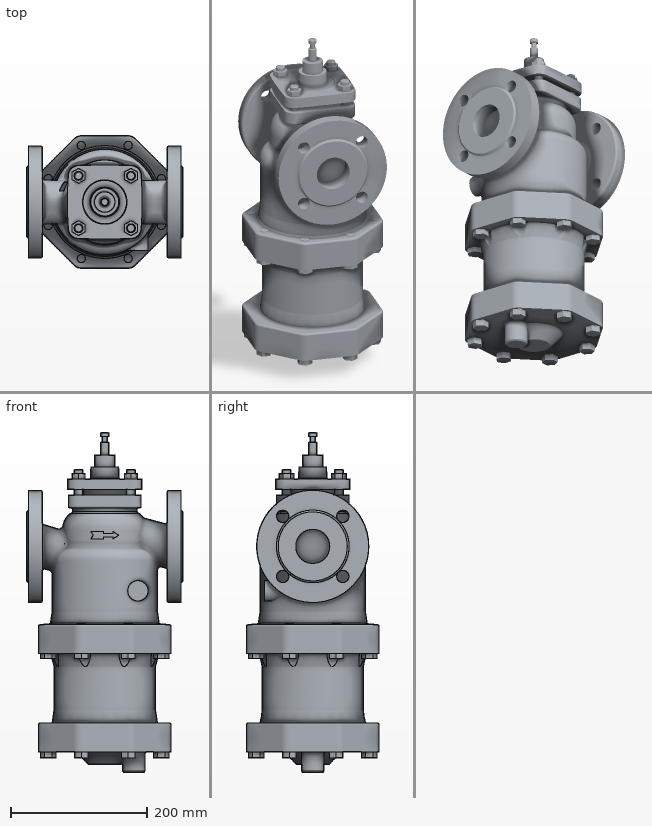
import cadquery as cq
import math


top_z = 167.5
bottom_z = -332.5

face_to_face = 230.0
end_flange_dia = 165.0
raised_face_height = 2.75
raised_face_base_dia = 107.0
end_flange_thickness = 20.5
end_flange_back_x = face_to_face / 2 - raised_face_height - end_flange_thickness
end_flange_edge_round = 3.0
end_flange_root_round = 3.0
end_bolt_circle_dia = 125.0
end_bolt_hole_dia = 18.0
end_bolt_count = 4
port_bore_dia = 50.0
port_bore_depth = 26.0
port_root_dia = 65.3
port_neck_dia = 64.0
port_neck_rise = 9.0
port_neck_reach = 60.0
port_inner_rise = 17.0
port_inner_reach = 35.0
inlet_body_round = 6.0
outlet_body_round = 5.0

neck_radius = 47.5
dome_radius = 62.0
body_radius = 77.5
body_foot_radius = 80.0
body_skirt_radius = 83.0
neck_round = 2.5
dome_neck_round = 3.5
dome_top_radius = 50.5
dome_top_z = 48.5
dome_bottom_z = 25.5
waist_bottom_z = 7.5
cove_bottom_z = -4.5
cove_radius_at_bottom = 67.5
shoulder_bottom_z = -21.0
body_cylinder_bottom_z = -95.75
body_foot_z = -112.5

arrow_tail_x = -20.5
arrow_step_x = -2.0
arrow_head_x = 12.0
arrow_tip_x = 20.5
arrow_half_height = 5.5
arrow_shaft_half_height = 2.5
arrow_notch = 3.5
arrow_relief = 1.0

joint_sides = 8
joint_across_flats = 195.0
joint_corner_round = 15.0
joint_edge_round = 3.0
joint_height = 42.5
upper_joint_top_z = -115.0
joint_pitch = 144.5
lower_joint_top_z = upper_joint_top_z - joint_pitch
upper_joint_bottom_z = upper_joint_top_z - joint_height
lower_joint_bottom_z = lower_joint_top_z - joint_height
upper_half_height = joint_height / 2

joint_bolt_circle_dia = 180.0
joint_bolt_count = 8
joint_bolt_dia = 12.0
joint_bolt_tip = 1.0
joint_head_across_flats = 20.0
upper_head_height = 7.5
lower_head_height = 9.0
spot_face_radius = 15.4

barrel_radius = 74.5
barrel_top_radius = 79.5
barrel_foot_radius = 77.5
barrel_flare_height = 19.5

cap_base_radius = 42.5
cap_tip_radius = 24.0
cap_tip_z = -320.25
drain_dia = 33.0
drain_x = 42.75
drain_chamfer = 2.0
drain_root_round = 3.0
drain_cap_round = 1.0

plug_dia = 29.97
plug_root_round = 1.0
plug_x = 48.75
plug_z = -65.25
plug_face_y = -71.0

bonnet_width = 107.0
bonnet_bottom_z = 56.75
bonnet_top_z = 75.25
bonnet_bottom_round = 2.0
cover_width = 109.5
cover_side_bulge = 1.5
cover_bottom_z = 84.0
cover_top_z = 99.0
square_corner_round = 15.0
spigot_dia = 64.0
cover_bore_dia = 65.3
stud_pitch = 77.0
stud_dia = 13.0
stud_top_z = 113.0
stud_chamfer = 1.0
nut_across_flats = 19.0
nut_top_z = 107.0
gland_base_radius = 21.0
gland_top_radius = 20.5
gland_top_z = 117.0
gland_foot_height = 1.5
gland_foot_radius = 21.75
guide_radius = 15.0
guide_top_z = 134.0
spindle_radius = 6.0
spindle_groove_radius = 7.5 / 2
spindle_groove_bottom_z = 153.5
spindle_groove_top_z = 161.5
spindle_chamfer = 1.0

SELECT_GAP = 0.0005

SELECT_MARGIN = 1.0

HEX_CORNER_RATIO = 2 / math.sqrt(3)


def edges_within(x_range, y_range, z_range):
    """Selector for the edges lying wholly inside a box."""
    lows, highs = zip(x_range, y_range, z_range)
    return cq.selectors.BoxSelector(lows, highs, boundingbox=True)


def disc(dia, low_z, high_z, x=0.0, y=0.0):
    """Upright cylinder between two levels."""
    return cq.Workplane("XY", origin=(x, y, low_z)).circle(dia / 2).extrude(high_z - low_z)


def hexagon(across_flats, low_z, high_z, x, y, turn):
    """Upright hexagonal prism with its corners on local X, turned about its own axis."""
    prism = (
        cq.Workplane("XY")
        .polygon(6, across_flats * HEX_CORNER_RATIO)
        .extrude(high_z - low_z)
    )
    return prism.rotate((0, 0, 0), (0, 0, 1), turn).translate((x, y, low_z))


def upper_body():
    """Turned body from its skirt on the upper joint to the neck under the bonnet."""
    profile = (
        cq.Workplane("XZ")
        .moveTo(0, upper_joint_top_z)
        .lineTo(body_skirt_radius, upper_joint_top_z)
        .lineTo(body_foot_radius, body_foot_z)
        .lineTo(body_radius, body_cylinder_bottom_z)
        .lineTo(body_radius, shoulder_bottom_z)
        .tangentArcPoint((cove_radius_at_bottom, cove_bottom_z), relative=False)
        .tangentArcPoint((dome_radius, waist_bottom_z), relative=False)
        .lineTo(dome_radius, dome_bottom_z)
        .tangentArcPoint((dome_top_radius, dome_top_z), relative=False)
        .radiusArc((neck_radius, dome_top_z + neck_round), dome_neck_round)
        .lineTo(neck_radius, bonnet_bottom_z - neck_round)
        .tangentArcPoint((neck_radius + neck_round, bonnet_bottom_z), relative=False)
        .lineTo(0, bonnet_bottom_z)
        .close()
    )
    return profile.revolve(360, (0, 0, 0), (0, 1, 0))


def barrel():
    """Turned barrel between the joints, scalloped below the upper joint to clear the bolt heads."""
    flare_bottom_z = upper_joint_bottom_z - barrel_flare_height
    flare_top_z = lower_joint_top_z + barrel_flare_height
    profile = (
        cq.Workplane("XZ")
        .moveTo(0, upper_joint_bottom_z)
        .lineTo(barrel_top_radius, upper_joint_bottom_z)
        .lineTo(barrel_radius, flare_bottom_z)
        .lineTo(barrel_radius, flare_top_z)
        .lineTo(barrel_foot_radius, lower_joint_top_z)
        .lineTo(0, lower_joint_top_z)
        .close()
    )
    shape = profile.revolve(360, (0, 0, 0), (0, 1, 0))
    for x, y, _ in joint_bolt_places():
        shape = shape.cut(disc(2 * spot_face_radius, flare_bottom_z, upper_joint_bottom_z, x, y))
    return shape


def joint_bolt_places():
    """Bolt positions, each with the turn of its hexagon head."""
    places = []
    step = 360 / joint_bolt_count
    for index in range(joint_bolt_count):
        angle = math.radians((index + 0.5) * step)
        x = joint_bolt_circle_dia / 2 * math.cos(angle)
        y = joint_bolt_circle_dia / 2 * math.sin(angle)
        turn = 0 if abs(x) > abs(y) else 90
        places.append((x, y, turn))
    return places


def octagon(low_z, high_z):
    """Octagonal plate with rounded corners and flats square to X and Y."""
    corner_dia = joint_across_flats / math.cos(math.pi / joint_sides)
    plate = (
        cq.Workplane("XY")
        .polygon(joint_sides, corner_dia)
        .extrude(high_z - low_z)
        .rotate((0, 0, 0), (0, 0, 1), 180 / joint_sides)
        .translate((0, 0, low_z))
    )
    return plate.edges("|Z").fillet(joint_corner_round)


def joint(high_z, head_height, tip):
    """Octagonal flange pair with its ring of bolts; the seams between the parts are kept."""
    low_z = high_z - joint_height
    middle_z = high_z - upper_half_height
    upper_half = octagon(middle_z, high_z).faces(">Z").edges().fillet(joint_edge_round)
    pair = upper_half.union(octagon(low_z, middle_z), clean=False)
    for x, y, turn in joint_bolt_places():
        head = hexagon(joint_head_across_flats, low_z - head_height, low_z, x, y, turn)
        shank = disc(joint_bolt_dia, low_z, high_z + tip, x, y)
        pair = pair.union(head, clean=False).union(shank, clean=False)
    return pair


def drain_stub():
    """Drain stub, chamfered at its mouth and flared where it meets the lower joint."""
    radius = drain_dia / 2
    profile = (
        cq.Workplane("XZ", origin=(drain_x, 0, 0))
        .moveTo(0, bottom_z)
        .lineTo(radius - drain_chamfer, bottom_z)
        .lineTo(radius, bottom_z + drain_chamfer)
        .lineTo(radius, lower_joint_bottom_z - drain_root_round)
        .tangentArcPoint((radius + drain_root_round, lower_joint_bottom_z), relative=False)
        .lineTo(0, lower_joint_bottom_z)
        .close()
    )
    return profile.revolve(360, (0, 0, 0), (0, 1, 0))


def bottom_cap():
    """Cone under the lower joint with the drain stub blended into its side."""
    cone = (
        cq.Workplane("XY", origin=(0, 0, cap_tip_z))
        .circle(cap_tip_radius)
        .workplane(offset=lower_joint_bottom_z - cap_tip_z)
        .circle(cap_base_radius)
        .loft()
    )
    cap = cone.union(drain_stub())
    crossing = edges_within(
        (0, drain_x + drain_dia),
        (-drain_dia, drain_dia),
        (cap_tip_z + SELECT_MARGIN, lower_joint_bottom_z - SELECT_GAP),
    )
    return cap.edges("%BSPLINE").edges(crossing).fillet(drain_cap_round)


def side_plug():
    """Blind boss on the front of the body, square to Y."""
    return (
        cq.Workplane("XZ", origin=(plug_x, 0, plug_z))
        .circle(plug_dia / 2)
        .extrude(-plug_face_y)
    )


def square_plate(width, low_z, high_z):
    """Square plate with rounded corners."""
    plate = cq.Workplane("XY", origin=(0, 0, low_z)).rect(width, width).extrude(high_z - low_z)
    return plate.edges("|Z").fillet(square_corner_round)


def bulged_plate(width, bulge, low_z, high_z):
    """Square plate whose sides bow outward; width is taken across the middle of the sides."""
    middle = width / 2
    corner = middle - bulge
    plate = (
        cq.Workplane("XY", origin=(0, 0, low_z))
        .moveTo(-corner, -corner)
        .threePointArc((0, -middle), (corner, -corner))
        .threePointArc((middle, 0), (corner, corner))
        .threePointArc((0, middle), (-corner, corner))
        .threePointArc((-middle, 0), (-corner, -corner))
        .close()
        .extrude(high_z - low_z)
    )
    return plate.edges("|Z").fillet(square_corner_round)


def bonnet_and_cover():
    """Bonnet plate, spigot and the cover held above it by four studs and nuts."""
    bonnet = square_plate(bonnet_width, bonnet_bottom_z, bonnet_top_z)
    bonnet = bonnet.faces("<Z").edges().fillet(bonnet_bottom_round)
    cover = bulged_plate(cover_width, cover_side_bulge, cover_bottom_z, cover_top_z)
    cover = cover.cut(disc(cover_bore_dia, cover_bottom_z, cover_top_z))
    shape = bonnet.union(cover).union(disc(spigot_dia, bonnet_top_z, cover_top_z))
    for x_side in (-1, 1):
        for y_side in (-1, 1):
            x = x_side * stud_pitch / 2
            y = y_side * stud_pitch / 2
            stud = disc(stud_dia, bonnet_top_z, stud_top_z, x, y)
            stud = stud.faces(">Z").chamfer(stud_chamfer)
            nut = hexagon(nut_across_flats, cover_top_z, nut_top_z, x, y, 90)
            shape = shape.union(stud).union(nut)
    return shape


def spindle():
    """Turned gland, guide and grooved spindle end on top of the cover."""
    profile = (
        cq.Workplane("XZ")
        .moveTo(0, cover_top_z)
        .lineTo(gland_foot_radius, cover_top_z)
        .lineTo(gland_base_radius, cover_top_z + gland_foot_height)
        .lineTo(gland_top_radius, gland_top_z)
        .lineTo(guide_radius, gland_top_z)
        .lineTo(guide_radius, guide_top_z)
        .lineTo(spindle_radius, guide_top_z)
        .lineTo(spindle_radius, spindle_groove_bottom_z - spindle_chamfer)
        .lineTo(spindle_radius - spindle_chamfer, spindle_groove_bottom_z)
        .lineTo(spindle_groove_radius, spindle_groove_bottom_z)
        .lineTo(spindle_groove_radius, spindle_groove_top_z)
        .lineTo(spindle_radius, spindle_groove_top_z)
        .lineTo(spindle_radius, top_z - spindle_chamfer)
        .lineTo(spindle_radius - spindle_chamfer, top_z)
        .lineTo(0, top_z)
        .close()
    )
    return profile.revolve(360, (0, 0, 0), (0, 1, 0))


def end_flange(side):
    """Pipe flange on the -X (side = -1) or +X (side = 1) end, without its bore."""
    plate = (
        cq.Workplane("YZ", origin=(end_flange_back_x, 0, 0))
        .circle(end_flange_dia / 2)
        .extrude(end_flange_thickness)
    )
    plate = plate.faces("<X").edges().fillet(end_flange_edge_round)
    face = (
        cq.Workplane("YZ", origin=(end_flange_back_x + end_flange_thickness, 0, 0))
        .circle(raised_face_base_dia / 2)
        .extrude(raised_face_height, taper=45)
    )
    holes = (
        cq.Workplane("YZ", origin=(end_flange_back_x, 0, 0))
        .polarArray(end_bolt_circle_dia / 2, 45, 360, end_bolt_count)
        .circle(end_bolt_hole_dia / 2)
        .extrude(face_to_face / 2 - end_flange_back_x)
    )
    flange = plate.union(face).cut(holes)
    return flange if side > 0 else flange.mirror("YZ")


def port_neck(side):
    """Pipe neck from an end flange into the body: it climbs at +X and drops at -X."""
    stations = [
        (end_flange_back_x, 0.0, port_root_dia),
        (port_neck_reach, port_neck_rise, port_neck_dia),
        (port_inner_reach, port_inner_rise, port_neck_dia),
    ]
    rings = []
    for x, rise, dia in stations:
        center = cq.Vector(side * x, 0, side * rise)
        rings.append(cq.Wire.makeCircle(dia / 2, center, cq.Vector(1, 0, 0)))
    return cq.Workplane(cq.Solid.makeLoft(rings))


def port_bore(side):
    """Blind port bore from one end face."""
    bore = (
        cq.Workplane("YZ", origin=(face_to_face / 2, 0, 0))
        .circle(port_bore_dia / 2)
        .extrude(-port_bore_depth)
    )
    return bore if side > 0 else bore.mirror("YZ")


def body_with_ports():
    """Upper body, end flanges and side boss, blended together."""
    body = upper_body().union(port_neck(-1)).union(port_neck(1)).union(side_plug())
    reach = port_root_dia
    inner_x = end_flange_back_x - SELECT_MARGIN
    outer_x = end_flange_back_x + SELECT_MARGIN
    for side, blend in ((-1, inlet_body_round), (1, outlet_body_round)):
        x_range = sorted((side * port_inner_reach, side * inner_x))
        neck_edges = edges_within(x_range, (-reach, reach), (-reach, dome_top_z - SELECT_MARGIN))
        body = body.edges(neck_edges).fillet(blend)
    plug_edges = edges_within(
        (plug_x - plug_dia, plug_x + plug_dia),
        (plug_face_y + SELECT_MARGIN, 0),
        (plug_z - plug_dia, plug_z + plug_dia),
    )
    body = body.edges(plug_edges).fillet(plug_root_round)
    for side in (-1, 1):
        body = body.union(end_flange(side)).cut(port_bore(side))
        x_range = sorted((side * inner_x, side * outer_x))
        root_reach = port_root_dia / 2 + SELECT_MARGIN
        root_edges = edges_within(x_range, (-root_reach, root_reach), (-root_reach, root_reach))
        body = body.edges(root_edges).fillet(end_flange_root_round)
    return body


def flow_arrow():
    """Raised arrow on the front of the waist, pointing from the -X port to the +X port."""
    middle_z = (dome_bottom_z + waist_bottom_z) / 2
    outline = (
        cq.Workplane("XZ", origin=(0, 0, middle_z))
        .moveTo(arrow_tail_x, -arrow_half_height)
        .lineTo(arrow_step_x, -arrow_half_height)
        .lineTo(arrow_step_x, -arrow_shaft_half_height)
        .lineTo(arrow_head_x, -arrow_shaft_half_height)
        .lineTo(arrow_head_x, -arrow_half_height)
        .lineTo(arrow_tip_x, 0)
        .lineTo(arrow_head_x, arrow_half_height)
        .lineTo(arrow_head_x, arrow_shaft_half_height)
        .lineTo(arrow_step_x, arrow_shaft_half_height)
        .lineTo(arrow_step_x, arrow_half_height)
        .lineTo(arrow_tail_x, arrow_half_height)
        .lineTo(arrow_tail_x + arrow_notch, 0)
        .close()
        .extrude(dome_radius + arrow_relief)
    )
    shell = disc(2 * (dome_radius + arrow_relief), waist_bottom_z, dome_bottom_z)
    return outline.intersect(shell)


result = body_with_ports()
result = result.union(flow_arrow())
result = result.union(joint(upper_joint_top_z, upper_head_height, joint_bolt_tip), clean=False)
result = result.union(barrel(), clean=False)
result = result.union(joint(lower_joint_top_z, lower_head_height, 0), clean=False)
result = result.union(bottom_cap(), clean=False)
result = result.union(bonnet_and_cover(), clean=False)
result = result.union(spindle(), clean=False)